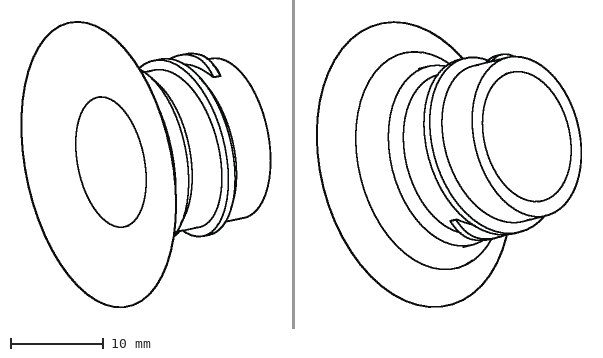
import cadquery as cq
import math

length = 16.37
flange_radius = 15.6
rim_thickness = 0.05
flange_slope = 20.0
step_radius = 11.9
step_height = 2.35
step_fillet = 1.25
collar_radius = 9.88
collar_fillet = 1.5
collar_top = 5.25
neck_radius = 8.75
neck_base = 6.4
cone_lip = 0.1

bore_radius = 7.1
mouth_radius = 13.1
mouth_depth = 1.6

pitch = 3.25
full_angle = 530.0
thread_radius = 9.8
crest_width = 0.85
upper_flank = 0.85
lower_flank = 0.2
thread_embed = 0.2
start_angle = 95.0
start_height = 8.35
runout_angle = 23.0
runout_steps = 6
end_fullness = 0.05


def blend_point(center, radius, angle):
    """Point on a blend circle at an angle in degrees."""
    turn = math.radians(angle)
    return (center[0] + radius * math.cos(turn), center[1] + radius * math.sin(turn))


def make_body():
    tangent_angle = 270 - flange_slope
    slope = math.radians(flange_slope)
    center_r = step_radius + step_fillet
    tangent_r = center_r - step_fillet * math.sin(slope)
    tangent_z = rim_thickness + (flange_radius - tangent_r) * math.tan(slope)
    step_center = (center_r, tangent_z + step_fillet * math.cos(slope))
    collar_center = (collar_radius + collar_fillet, step_height + collar_fillet)
    return (
        cq.Workplane("XZ")
        .moveTo(mouth_radius, 0)
        .lineTo(flange_radius, 0)
        .lineTo(flange_radius, rim_thickness)
        .lineTo(tangent_r, tangent_z)
        .threePointArc(
            blend_point(step_center, step_fillet, (tangent_angle + 180) / 2),
            blend_point(step_center, step_fillet, 180),
        )
        .lineTo(step_radius, step_height)
        .lineTo(collar_center[0], step_height)
        .threePointArc(
            blend_point(collar_center, collar_fillet, 225),
            blend_point(collar_center, collar_fillet, 180),
        )
        .lineTo(collar_radius, collar_top)
        .lineTo(collar_radius - cone_lip, collar_top + cone_lip)
        .lineTo(neck_radius, neck_base)
        .lineTo(neck_radius, length)
        .lineTo(bore_radius, length)
        .lineTo(bore_radius, mouth_depth)
        .close()
        .revolve(360, (0, 0, 0), (0, 1, 0))
    )


def thread_section(angle, fullness):
    """Closed ridge outline at an angle past the start; fullness 1 is the whole ridge height."""
    middle = start_height + pitch * angle / 360
    height = (thread_radius - neck_radius) * fullness
    root_scale = (height + thread_embed) / (thread_radius - neck_radius)
    crest_low = middle - crest_width / 2
    crest_high = middle + crest_width / 2
    root_r = neck_radius - thread_embed
    crest_r = neck_radius + height
    outline = [
        (root_r, crest_low - lower_flank * root_scale),
        (crest_r, crest_low),
        (crest_r, crest_high),
        (root_r, crest_high + upper_flank * root_scale),
    ]
    turn = math.radians(start_angle + angle)
    points = [cq.Vector(r * math.cos(turn), r * math.sin(turn), z) for r, z in outline]
    return cq.Wire.makePolygon(points, close=True)


def make_full_thread():
    helix = cq.Wire.makeHelix(pitch, pitch * full_angle / 360, neck_radius)
    helix = helix.rotate(cq.Vector(0, 0, 0), cq.Vector(0, 0, 1), start_angle)
    helix = helix.translate(cq.Vector(0, 0, start_height))
    return cq.Solid.sweep(thread_section(0, 1), [], helix, True, True)


def make_runout(from_angle, direction):
    """Ridge fading into the neck; direction is +1 up the thread and -1 down it."""
    sections = []
    for step in range(runout_steps + 1):
        share = step / runout_steps
        fullness = max(1 - share**2, end_fullness)
        sections.append(thread_section(from_angle + direction * runout_angle * share, fullness))
    return cq.Solid.makeLoft(sections)


result = (
    make_body()
    .union(cq.Workplane(make_full_thread()))
    .union(cq.Workplane(make_runout(full_angle, 1)))
    .union(cq.Workplane(make_runout(0, -1)))
    .rotate((0, 0, 0), (1, 0, 0), -90)
)